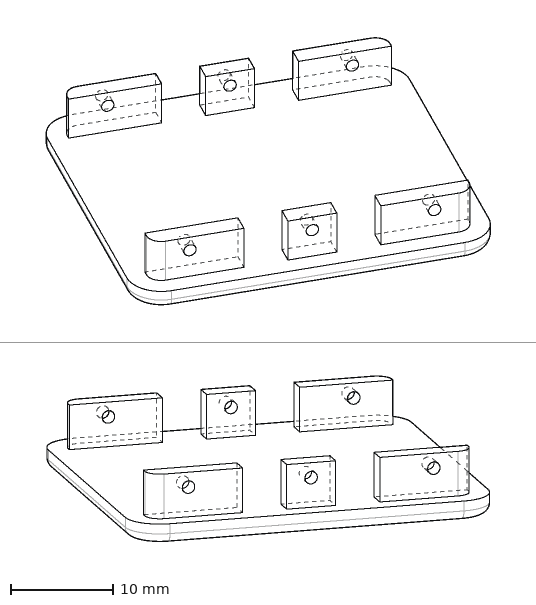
import cadquery as cq

plate_width = 33.5
plate_length = 37.0
total_height = 6.5
plate_thickness = 2.0
plate_corner_radius = 3.5
bottom_edge_radius = 1.0

tab_inset = 2.0
tab_thickness = 2.0
end_tab_length = 9.5
middle_tab_length = 5.0
tab_corner_radius = 1.5
tab_height = total_height - plate_thickness

hole_diameter = 1.25
hole_spacing = 12.5
hole_drop = 1.5

tab_outer_x = plate_width / 2 - tab_inset
tab_outer_y = plate_length / 2 - tab_inset
tab_center_x = tab_outer_x - tab_thickness / 2
end_tab_center_y = tab_outer_y - end_tab_length / 2


def make_plate():
    """Rounded plate with a softened bottom edge, resting on Z = 0."""
    plate = cq.Workplane("XY").box(
        plate_width, plate_length, plate_thickness, centered=(True, True, False)
    )
    plate = plate.edges("|Z").fillet(plate_corner_radius)
    return plate.faces("<Z").edges().fillet(bottom_edge_radius)


def make_tab(x, y, length):
    """Upright rectangular tab standing on the plate."""
    return (
        cq.Workplane("XY", origin=(x, y, plate_thickness))
        .rect(tab_thickness, length)
        .extrude(tab_height)
    )


def make_end_tab(x_side, y_side):
    """Tab near a plate corner, with its outer vertical edge rounded."""
    tab = make_tab(x_side * tab_center_x, y_side * end_tab_center_y, end_tab_length)
    x_selector = ">X" if x_side > 0 else "<X"
    y_selector = ">Y" if y_side > 0 else "<Y"
    outer_edge = f"|Z and {x_selector} and {y_selector}"
    return tab.edges(outer_edge).fillet(tab_corner_radius)


def make_pin_holes():
    """Cylinders along X that pierce the tabs on both sides."""
    return (
        cq.Workplane("YZ")
        .pushPoints([(y, total_height - hole_drop) for y in (-hole_spacing, 0, hole_spacing)])
        .circle(hole_diameter / 2)
        .extrude(plate_width / 2, both=True)
    )


result = make_plate()
for x_side in (-1, 1):
    result = result.union(make_tab(x_side * tab_center_x, 0, middle_tab_length))
    for y_side in (-1, 1):
        result = result.union(make_end_tab(x_side, y_side))
result = result.cut(make_pin_holes())